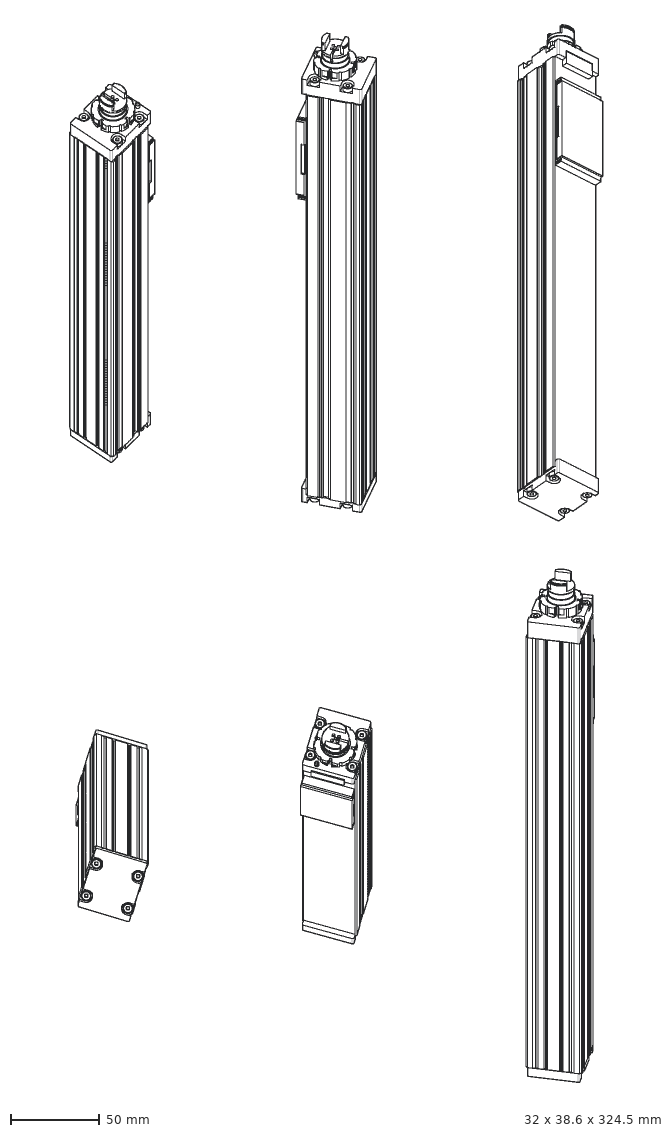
import cadquery as cq
import math

TOTAL_HEIGHT = 324.5
TUBE_WIDTH = 32.0
TUBE_BACK = -19.3
TUBE_FRONT = 13.3
TUBE_CHAMFER = 1.0
BOTTOM_CAP_HEIGHT = 6.0
TOP_CAP_BOTTOM = 293.5
TOP_CAP_TOP = 304.3

BACK_BANDS = [(-12.0, 12.0, 0.3)]
BACK_SLOTS = [
    (-10.5, -9.0, 1.0),
    (-5.5, -3.5, 1.0),
    (-5.0, -4.2, 2.0),
    (3.5, 5.5, 1.0),
    (4.2, 5.0, 2.0),
    (9.0, 10.5, 1.0),
]
SIDE_BANDS = [(-16.2, -10.5, 0.3), (-1.3, 6.2, 0.3)]
SIDE_SLOTS = [(-15.0, -13.3, 1.3), (0.0, 3.2, 2.0), (4.2, 5.2, 0.5)]

CAP_WIDTH = 30.5
CAP_FRONT = 16.2
CAP_FILLET = 1.0
BOTTOM_LIP_TOP = 9.7
TOP_TONGUE_BOTTOM = 289.5
TOP_TONGUE_TOP = 298.0
TOP_TONGUE_FRONT = 17.0
TOP_TONGUE_WIDTH = 19.5

SCREW_X = 12.3
SCREW_YS = (-10.5, 9.0)
RECESS_WIDTH = 7.0
RECESS_DEPTH = 4.0
HEAD_DIAMETER = 5.5
HEAD_CHAMFER = 0.3
HEAD_SINK = 1.0
SOCKET_DIAMETER = 2.0
SOCKET_DEPTH = 2.0

LAMP_DIAMETER = 2.5
LAMP_HEIGHT = 3.2
LAMP_CHAMFER = 0.5
LAMP_X = 7.0
LAMP_Y = 14.0

CONNECTOR_Y = 0.5
NUT_DIAMETER = 24.5
NUT_HEIGHT = 6.0
NUT_FLANGE_HEIGHT = 2.0
NUT_ACROSS_FLATS = 23.0
NUT_BORE = 17.0
NUT_SIDES = 4
NUT_NOTCH_WIDTH = 1.23
NUT_NOTCH_DEPTH = 3.0
NUT_NOTCH_MOUTH_WIDTH = 2.45
NUT_NOTCH_MOUTH_DEPTH = 1.3
GRIP_GROOVE_DIAMETER = 1.23
GRIP_GROOVE_ANGLES = (30, 60)

BARREL_DIAMETER = 15.5
BARREL_TOP = 319.0
GROOVE_BOTTOM = 313.5
GROOVE_HEIGHT = 3.5
GROOVE_DEPTH = 0.5
TAB_WIDTH = 9.0
TAB_THICKNESS = 3.2
TAB_GROOVE_BOTTOM = 322.8
TAB_GROOVE_HEIGHT = 0.5
KEYWAY_WIDTH = 1.23
KEYWAY_DEPTH = 5.0
CONTACT_DIAMETER = 1.55
CONTACT_DEPTH = 3.2
CONTACT_CIRCLE_RADIUS = 2.3
OUTER_CONTACT_COUNT = 4
FIRST_CONTACT_ANGLE = 45

BRACKET_BOTTOM = 217.5
BRACKET_TOP = 276.5
BRACKET_FRONT = 19.3
BRACKET_END_FRONT = 18.2
BRACKET_END_LENGTH = 3.2
BRACKET_FOOT_FRONT = 14.5
BRACKET_SIDE_STEP = 0.3
BRACKET_END_GROOVE_WIDTH = 1.0
BRACKET_POCKET_Y = (14.3, 16.2)
BRACKET_POCKET_Z = (236.0, 257.0)
BRACKET_POCKET_DEPTH = 1.0


def block(x_range, y_range, z_range):
    """Box between the given limits."""
    size = [high - low for low, high in (x_range, y_range, z_range)]
    return cq.Workplane().box(*size, centered=False).translate((x_range[0], y_range[0], z_range[0]))


def wide_block(width, y_range, z_range):
    """Box centred on X = 0."""
    return block((-width / 2, width / 2), y_range, z_range)


def disc(diameter, height, bottom, x=0.0, y=CONNECTOR_Y):
    """Upright cylinder."""
    return cq.Workplane().circle(diameter / 2).extrude(height).translate((x, y, bottom))


def make_tube():
    z_range = (BOTTOM_CAP_HEIGHT, TOP_CAP_BOTTOM)
    tube = wide_block(TUBE_WIDTH, (TUBE_BACK, TUBE_FRONT), z_range).edges("|Z").chamfer(TUBE_CHAMFER)
    for start, end, depth in BACK_BANDS + BACK_SLOTS:
        tube = tube.cut(block((start, end), (TUBE_BACK, TUBE_BACK + depth), z_range))
    half = TUBE_WIDTH / 2
    for start, end, depth in SIDE_BANDS + SIDE_SLOTS:
        tube = tube.cut(block((-half, depth - half), (start, end), z_range))
        tube = tube.cut(block((half - depth, half), (start, end), z_range))
    return tube


def cap_plate(bottom, top):
    plate = wide_block(CAP_WIDTH, (TUBE_BACK, CAP_FRONT), (bottom, top))
    return plate.edges("|Z").fillet(CAP_FILLET)


def add_screws(cap, face_z, inward):
    """Recess open to the side at each corner, with a socket head in it.

    inward is the Z direction into the cap, 1 or -1.
    """
    head_z = face_z + inward * HEAD_SINK
    floor_z = face_z + inward * RECESS_DEPTH
    recess_z = sorted((face_z, floor_z))
    head_bottom = min(head_z, floor_z)
    socket_bottom = min(head_z, head_z + inward * SOCKET_DEPTH)
    for side in (-1, 1):
        x = side * SCREW_X
        for y in SCREW_YS:
            mouth_x = sorted((x, side * CAP_WIDTH / 2))
            mouth = block(mouth_x, (y - RECESS_WIDTH / 2, y + RECESS_WIDTH / 2), recess_z)
            head = disc(HEAD_DIAMETER, RECESS_DEPTH - HEAD_SINK, head_bottom, x, y)
            head = head.faces(">Z" if inward < 0 else "<Z").chamfer(HEAD_CHAMFER)
            socket = disc(SOCKET_DIAMETER, SOCKET_DEPTH, socket_bottom, x, y)
            cap = cap.cut(disc(RECESS_WIDTH, RECESS_DEPTH, recess_z[0], x, y)).cut(mouth)
            cap = cap.union(head).cut(socket)
    return cap


def make_bottom_cap():
    lip = wide_block(CAP_WIDTH, (TUBE_FRONT, CAP_FRONT), (0, BOTTOM_LIP_TOP))
    lip = lip.edges("|Z and >Y").fillet(CAP_FILLET)
    return add_screws(cap_plate(0, BOTTOM_CAP_HEIGHT).union(lip), 0, 1)


def make_top_cap():
    tongue_z = (TOP_TONGUE_BOTTOM, TOP_TONGUE_TOP)
    tongue = wide_block(TOP_TONGUE_WIDTH, (TUBE_FRONT, TOP_TONGUE_FRONT), tongue_z)
    cap = cap_plate(TOP_CAP_BOTTOM, TOP_CAP_TOP).union(tongue)
    cap = add_screws(cap, TOP_CAP_TOP, -1)
    lamp = disc(LAMP_DIAMETER, LAMP_HEIGHT, TOP_CAP_TOP, LAMP_X, LAMP_Y)
    return cap.union(lamp.faces(">Z").chamfer(LAMP_CHAMFER))


def nut_notch(width, depth):
    """Cutter for a slot of full nut height in the +X side of a nut centred on the Z axis."""
    x_range = (NUT_DIAMETER / 2 - depth, NUT_DIAMETER)
    return block(x_range, (-width / 2, width / 2), (TOP_CAP_TOP, TOP_CAP_TOP + NUT_HEIGHT))


def make_nut():
    """Ring with a flat, a stepped notch and two grip grooves on each of its sides."""
    radius = NUT_DIAMETER / 2
    flat_z = (TOP_CAP_TOP + NUT_FLANGE_HEIGHT, TOP_CAP_TOP + NUT_HEIGHT)
    cutters = [
        block((NUT_ACROSS_FLATS / 2, NUT_DIAMETER), (-radius, radius), flat_z),
        nut_notch(NUT_NOTCH_WIDTH, NUT_NOTCH_DEPTH),
        nut_notch(NUT_NOTCH_MOUTH_WIDTH, NUT_NOTCH_MOUTH_DEPTH),
    ]
    for angle in GRIP_GROOVE_ANGLES:
        x = radius * math.cos(math.radians(angle))
        y = radius * math.sin(math.radians(angle))
        cutters.append(disc(GRIP_GROOVE_DIAMETER, NUT_HEIGHT, TOP_CAP_TOP, x, y))

    nut = disc(NUT_DIAMETER, NUT_HEIGHT, TOP_CAP_TOP).cut(disc(NUT_BORE, NUT_HEIGHT, TOP_CAP_TOP))
    for number in range(NUT_SIDES):
        turn = number * 360 / NUT_SIDES
        for cutter in cutters:
            nut = nut.cut(cutter.rotate((0, 0, 0), (0, 0, 1), turn).translate((0, CONNECTOR_Y, 0)))
    return nut


def outer_groove(bottom, height):
    """Ring that is cut from the outside of the barrel."""
    return disc(BARREL_DIAMETER, height, bottom).cut(
        disc(BARREL_DIAMETER - 2 * GROOVE_DEPTH, height, bottom)
    )


def make_connector():
    base = disc(NUT_BORE, NUT_HEIGHT, TOP_CAP_TOP)
    barrel = disc(BARREL_DIAMETER, TOTAL_HEIGHT - TOP_CAP_TOP, TOP_CAP_TOP)

    radius = BARREL_DIAMETER / 2
    tab_z = (BARREL_TOP, TOTAL_HEIGHT)
    inner = radius - TAB_THICKNESS
    above = wide_block(BARREL_DIAMETER, (CONNECTOR_Y - radius, CONNECTOR_Y + radius), tab_z)
    tabs = wide_block(TAB_WIDTH, (CONNECTOR_Y - radius, CONNECTOR_Y + radius), tab_z)
    tabs = tabs.cut(wide_block(TAB_WIDTH, (CONNECTOR_Y - inner, CONNECTOR_Y + inner), tab_z))
    connector = base.union(barrel.cut(above.cut(tabs)))

    connector = connector.cut(outer_groove(GROOVE_BOTTOM, GROOVE_HEIGHT))
    connector = connector.cut(outer_groove(TAB_GROOVE_BOTTOM, TAB_GROOVE_HEIGHT))

    keyway_y = (CONNECTOR_Y - KEYWAY_WIDTH / 2, CONNECTOR_Y + KEYWAY_WIDTH / 2)
    connector = connector.cut(block((-radius, 0), keyway_y, (BARREL_TOP - KEYWAY_DEPTH, BARREL_TOP)))

    contact_bottom = BARREL_TOP - CONTACT_DEPTH
    connector = connector.cut(disc(CONTACT_DIAMETER, CONTACT_DEPTH, contact_bottom))
    for number in range(OUTER_CONTACT_COUNT):
        angle = math.radians(FIRST_CONTACT_ANGLE + number * 360 / OUTER_CONTACT_COUNT)
        x = CONTACT_CIRCLE_RADIUS * math.cos(angle)
        y = CONNECTOR_Y + CONTACT_CIRCLE_RADIUS * math.sin(angle)
        connector = connector.cut(disc(CONTACT_DIAMETER, CONTACT_DEPTH, contact_bottom, x, y))
    return connector


def make_bracket():
    inner_width = CAP_WIDTH - 2 * BRACKET_SIDE_STEP
    ends = wide_block(inner_width, (TUBE_FRONT, BRACKET_END_FRONT), (BRACKET_BOTTOM, BRACKET_TOP))
    middle_z = (BRACKET_BOTTOM + BRACKET_END_LENGTH, BRACKET_TOP - BRACKET_END_LENGTH)
    bracket = ends.union(wide_block(CAP_WIDTH, (BRACKET_FOOT_FRONT, BRACKET_FRONT), middle_z))
    half = inner_width / 2
    groove_rise = (BRACKET_END_LENGTH - BRACKET_END_GROOVE_WIDTH) / 2
    end_y = (TUBE_FRONT, BRACKET_END_FRONT)
    for end_bottom in (BRACKET_BOTTOM, middle_z[1]):
        groove_bottom = end_bottom + groove_rise
        groove_z = (groove_bottom, groove_bottom + BRACKET_END_GROOVE_WIDTH)
        for x_range in ((-half, BRACKET_SIDE_STEP - half), (half - BRACKET_SIDE_STEP, half)):
            bracket = bracket.cut(block(x_range, end_y, groove_z))
    half = CAP_WIDTH / 2
    for x_range in ((-half, BRACKET_POCKET_DEPTH - half), (half - BRACKET_POCKET_DEPTH, half)):
        bracket = bracket.cut(block(x_range, BRACKET_POCKET_Y, BRACKET_POCKET_Z))
    return bracket


tube = make_tube()
bottom_cap = make_bottom_cap()
top_cap = make_top_cap()
ring_nut = make_nut()
connector = make_connector()
bracket = make_bracket()

result = cq.Compound.makeCompound(
    [tube.val(), bottom_cap.val(), top_cap.val(), ring_nut.val(), connector.val(), bracket.val()]
)